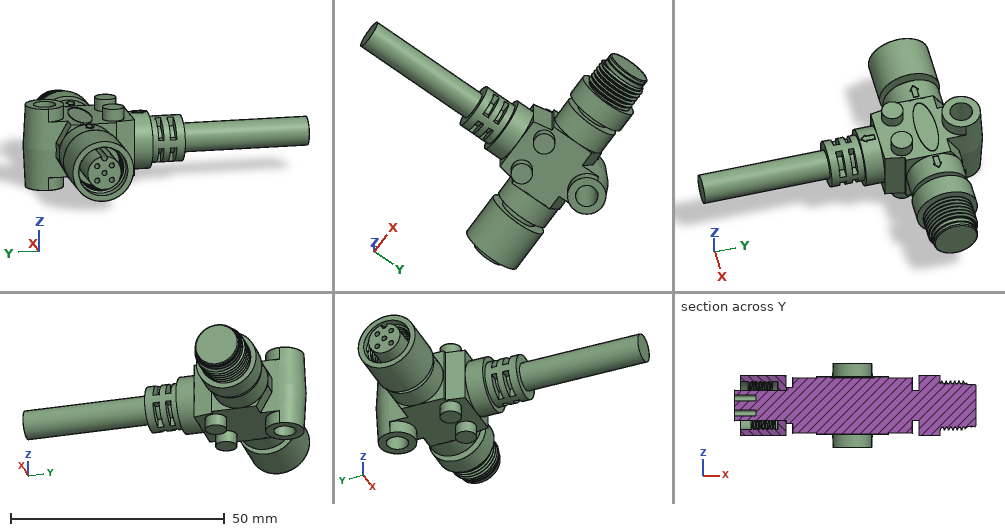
import cadquery as cq
import math


mould_radius = 6.75
block_half_length = 8.45
block_front = -6.93
back_slope = math.radians(60)
funnel_half_width = 7.6
funnel_end = -11.6
collar_end = 14.0

neck_end = 15.5
insert_radius = 4.0
socket_neck_radius = 4.6
nut_radius = 7.25
nut_front = -26.2
insert_front = -27.6
plug_neck_radius = 4.0
plug_flange_end = 20.5
plug_thread_end = 26.75
plug_end = 28.9
plug_tip_radius = 5.27
plug_tip_chamfer = 0.25
plug_groove_x = 27.65
plug_groove_width = 0.25
plug_groove_depth = 0.12

thread_radius = 6.0
thread_pitch = 1.0
thread_depth = 0.6
ridge_foot = 0.85
ridge_crest = 0.15
ridge_overlap = 0.1
thread_chamfer = 0.6
envelope_clearance = 0.2
plug_thread_start = 19.7

nut_bore_radius = 5.85
nut_thread_depth = 0.45
nut_back_wall = 2.0
nut_lead_in = 1.5

contact_offset = 1.75
contact_radius = 0.6
contact_depth = 5.0
key_radius = 0.65
key_center_z = 3.6

outlet_collar_end = -16.05
relief_radius = 5.45
relief_end = -24.0
relief_rib_width = 2.0
relief_slots = [(-18.95, -17.7), (-22.0, -20.5)]
cable_radius = 3.4
cable_end = -54.1

eye_y = 8.53
eye_radius = 4.5
eye_middle_radius = 5.0
eye_hole_radius = 2.6
eye_half_height = 9.85
post_x = 4.5
post_y = -6.95
post_radius = 2.5
post_half_height = 9.6

arrow_length = 3.4
arrow_head_length = 1.35
arrow_shaft_half_width = 0.65
arrow_head_half_width = 1.0
arrow_height = 0.2
run_arrow_tail = 9.05
cable_arrow_tail = 12.35
badge_length = 14.5
badge_width = 4.95
badge_depth = 0.2


def cylinder_x(radius, start, end):
    return cq.Workplane("YZ", origin=(start, 0, 0)).circle(radius).extrude(end - start)


def cylinder_y(radius, start, end):
    return cq.Workplane("XZ", origin=(0, start, 0)).circle(radius).extrude(start - end)


def post(radius, x, y, half_height):
    return cq.Workplane("XY").center(x, y).circle(radius).extrude(half_height, both=True)


def thread_ridge(root_radius, crest_radius, start, turns):
    """Right-hand helical ridge along +X; the first turn starts on the +Y side."""
    foot_radius = root_radius - math.copysign(ridge_overlap, crest_radius - root_radius)
    half_foot = ridge_foot / 2
    half_crest = ridge_crest / 2
    helix = cq.Wire.makeHelix(thread_pitch, turns * thread_pitch, foot_radius)
    profile = [
        (foot_radius, -half_foot),
        (crest_radius, -half_crest),
        (crest_radius, half_crest),
        (foot_radius, half_foot),
    ]
    ridge = cq.Workplane("XZ").polyline(profile).close().sweep(cq.Workplane(helix), isFrenet=True)
    return ridge.rotate((0, 0, 0), (1, 1, 1), 120).translate((start, 0, 0))


def make_block():
    rear_corner = mould_radius * math.tan(back_slope / 2)
    back_edge_z = mould_radius - (mould_radius - rear_corner) * math.tan(back_slope)
    cross_section = (
        cq.Workplane("YZ")
        .moveTo(block_front, -mould_radius)
        .lineTo(rear_corner, -mould_radius)
        .lineTo(mould_radius, -back_edge_z)
        .lineTo(mould_radius, back_edge_z)
        .lineTo(rear_corner, mould_radius)
        .lineTo(block_front, mould_radius)
        .close()
        .extrude(block_half_length, both=True)
    )
    funnel = (
        cq.Workplane("XY")
        .polyline([
            (-funnel_half_width, block_front),
            (-mould_radius, funnel_end),
            (mould_radius, funnel_end),
            (funnel_half_width, block_front),
        ])
        .close()
        .extrude(mould_radius, both=True)
    )
    return cross_section.union(funnel).union(cylinder_x(mould_radius, -collar_end, collar_end))


def make_eye():
    """Lug that narrows away from the mid-plane, with a straight eye that stands above the block."""
    draft = math.degrees(math.atan((eye_middle_radius - eye_radius) / eye_half_height))
    upper_lug = (
        cq.Workplane("XY")
        .moveTo(-eye_middle_radius, 0)
        .lineTo(-eye_middle_radius, eye_y)
        .threePointArc((0, eye_y + eye_middle_radius), (eye_middle_radius, eye_y))
        .lineTo(eye_middle_radius, 0)
        .close()
        .extrude(eye_half_height, taper=draft)
    )
    lug = upper_lug.union(upper_lug.mirror("XY"))
    clearance = 2 * eye_half_height
    for side in (1, -1):
        above_block = (
            cq.Workplane("XY", origin=(0, eye_y - clearance / 2, side * mould_radius))
            .rect(clearance, clearance)
            .extrude(side * clearance)
        )
        lug = lug.cut(above_block)
    return lug.union(post(eye_radius, 0, eye_y, eye_half_height))


def contact_hole(y, z):
    return cylinder_x(contact_radius, insert_front, insert_front + contact_depth).translate((0, y, z))


def make_socket():
    """Neck and contact insert on the -X end."""
    neck = cylinder_x(socket_neck_radius, -neck_end, -collar_end)
    insert = cylinder_x(insert_radius, insert_front, -neck_end)
    for y in (-contact_offset, contact_offset):
        for z in (-contact_offset, contact_offset):
            insert = insert.cut(contact_hole(y, z))
    insert = insert.cut(contact_hole(0, 0))
    key_length = -neck_end - nut_back_wall - insert_front
    key = (
        cq.Workplane("YZ", origin=(insert_front, 0, 0))
        .moveTo(-key_radius, insert_radius)
        .lineTo(-key_radius, key_center_z)
        .threePointArc((0, key_center_z - key_radius), (key_radius, key_center_z))
        .lineTo(key_radius, insert_radius)
        .close()
        .extrude(key_length)
    )
    return neck.union(insert.cut(key))


def make_plug():
    """Neck, flange and threaded stud on the +X end."""
    envelope = cylinder_x(thread_radius + envelope_clearance, plug_flange_end, plug_thread_end)
    envelope = envelope.faces(">X").chamfer(thread_chamfer + envelope_clearance)
    turns = math.ceil((plug_thread_end - plug_thread_start) / thread_pitch) + 1
    core_radius = thread_radius - thread_depth
    ridge = thread_ridge(core_radius, thread_radius, plug_thread_start, turns)
    core = cylinder_x(core_radius, plug_thread_start - thread_pitch, plug_thread_end + 2 * thread_pitch)
    stud = core.union(ridge).intersect(envelope)
    tip = cylinder_x(plug_tip_radius, plug_thread_end, plug_end).faces(">X").chamfer(plug_tip_chamfer)
    groove_end = plug_groove_x + plug_groove_width
    groove_floor = cylinder_x(plug_tip_radius - plug_groove_depth, plug_groove_x, groove_end)
    tip_groove = cylinder_x(plug_tip_radius, plug_groove_x, groove_end).cut(groove_floor)
    neck = cylinder_x(plug_neck_radius, collar_end, neck_end)
    flange = cylinder_x(nut_radius, neck_end, plug_flange_end)
    return neck.union(flange).union(stud).union(tip.cut(tip_groove))


def make_outlet():
    """Collar, slotted strain relief and cable."""
    collar = cylinder_y(mould_radius, funnel_end, outlet_collar_end)
    relief = cylinder_y(relief_radius, outlet_collar_end, relief_end)
    for start, end in relief_slots:
        width = end - start
        mid_slot = cq.Workplane("XY", origin=(0, (start + end) / 2, 0))
        upright_ribs = mid_slot.box(relief_rib_width, width, 2 * relief_radius)
        level_ribs = mid_slot.box(2 * relief_radius, width, relief_rib_width)
        ring = cylinder_y(relief_radius, end, start).cut(cylinder_y(cable_radius, end, start))
        relief = relief.cut(ring.cut(upright_ribs).cut(level_ribs))
    return collar.union(relief).union(cylinder_y(cable_radius, relief_end, cable_end))


def make_arrow(tail, angle):
    """Raised arrow on a collar, pointing away from the origin."""
    neck_x = tail + arrow_length - arrow_head_length
    arrow = (
        cq.Workplane("XY")
        .polyline([
            (tail, -arrow_shaft_half_width),
            (neck_x, -arrow_shaft_half_width),
            (neck_x, -arrow_head_half_width),
            (tail + arrow_length, 0),
            (neck_x, arrow_head_half_width),
            (neck_x, arrow_shaft_half_width),
            (tail, arrow_shaft_half_width),
        ])
        .close()
        .extrude(mould_radius + arrow_height)
    )
    return arrow.rotate((0, 0, 0), (0, 0, 1), angle)


def make_badge():
    return (
        cq.Workplane("XY", origin=(0, 0, mould_radius))
        .ellipse(badge_length / 2, badge_width / 2)
        .extrude(-badge_depth)
    )


def make_housing():
    housing = make_block().union(make_eye()).union(make_outlet()).union(make_socket()).union(make_plug())
    for x in (-post_x, post_x):
        housing = housing.union(post(post_radius, x, post_y, post_half_height))
    for tail, angle in ((run_arrow_tail, 0), (run_arrow_tail, 180), (cable_arrow_tail, -90)):
        housing = housing.union(make_arrow(tail, angle))
    return housing.cut(make_badge()).cut(post(eye_hole_radius, 0, eye_y, eye_half_height))


def make_coupling_nut():
    """Internally threaded sleeve around the insert, closed behind by a wall that rests on the neck."""
    bore_end = -neck_end - nut_back_wall
    thread_start = nut_front + nut_lead_in
    nut = cylinder_x(nut_radius, nut_front, -neck_end)
    nut = nut.cut(cylinder_x(nut_bore_radius, nut_front, bore_end))
    nut = nut.cut(cylinder_x(insert_radius, bore_end, -neck_end))
    crest_radius = nut_bore_radius - nut_thread_depth
    turns = math.floor((bore_end - thread_start) / thread_pitch) - 1
    return nut.union(thread_ridge(nut_bore_radius, crest_radius, thread_start + thread_pitch / 2, turns))


housing = make_housing()
coupling_nut = make_coupling_nut()
result = cq.Compound.makeCompound([housing.val(), coupling_nut.val()])